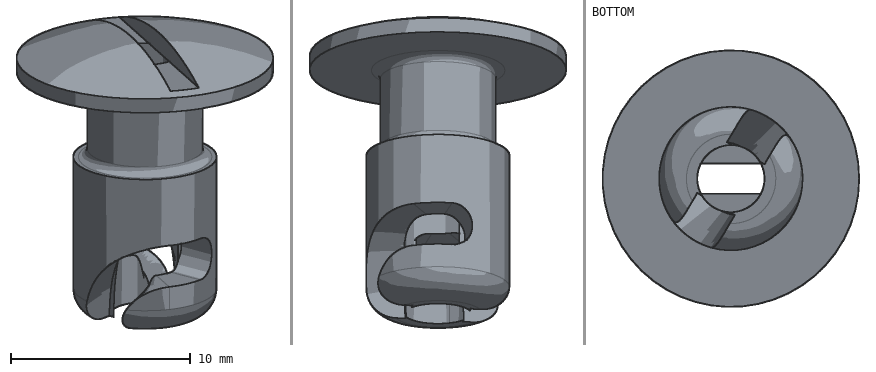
import cadquery as cq
import math

dome_apex = 16.4
head_radius = 7.15
rim_bottom = 14.2
rim_top = 15.02
body_top = 9.2

body_radius = 4.0
neck_radius = 3.23
neck_fillet = 0.49
tip_round = 1.5
bore_radius = 1.87

driver_slot_width = 1.67
driver_slot_floor = 15.23

cam_slot_radius = 1.21
cam_level_height = 4.03
cam_bend_radius = 4.16
cam_end_angle = 31.0
cam_bend_sweep = 100.0
cam_inner_radius = 1.64
cam_outer_radius = 4.59
cam_section_count = 11


def make_stud():
    """Turned profile: domed head, necked shank and rounded tip, without the bore."""
    dome_rise = dome_apex - rim_top
    dome_radius = (head_radius**2 + dome_rise**2) / (2 * dome_rise)
    dome_mid_x = head_radius / 2
    dome_mid_z = dome_apex - dome_radius + math.sqrt(dome_radius**2 - dome_mid_x**2)
    profile = (
        cq.Workplane("XZ")
        .lineTo(body_radius - tip_round, 0)
        .radiusArc((body_radius, tip_round), -tip_round)
        .lineTo(body_radius, body_top)
        .lineTo(neck_radius + neck_fillet, body_top)
        .radiusArc((neck_radius, body_top + neck_fillet), neck_fillet)
        .lineTo(neck_radius, rim_bottom - neck_fillet)
        .radiusArc((neck_radius + neck_fillet, rim_bottom), neck_fillet)
        .lineTo(head_radius, rim_bottom)
        .lineTo(head_radius, rim_top)
        .threePointArc((dome_mid_x, dome_mid_z), (0, dome_apex))
        .close()
    )
    return profile.revolve(360, (0, 0, 0), (0, 1, 0))


def cam_section(bend_angle):
    """Radial cross-section of the bend, after turning bend_angle from level."""
    turn = math.radians(bend_angle)
    around = -cam_bend_radius * math.sin(turn) / body_radius
    height = cam_level_height - cam_bend_radius * (1 - math.cos(turn))
    radial = cq.Vector(math.cos(around), math.sin(around), 0)
    tangent = cq.Vector(math.sin(around), -math.cos(around), 0)
    across = tangent * math.sin(turn) + cq.Vector(0, 0, math.cos(turn))
    corners = [
        radial * reach + across * (side * cam_slot_radius) + cq.Vector(0, 0, height)
        for reach, side in (
            (cam_inner_radius, -1),
            (cam_outer_radius, -1),
            (cam_outer_radius, 1),
            (cam_inner_radius, 1),
        )
    ]
    return cq.Wire.makePolygon(corners, close=True)


def make_cam_slot():
    """Cutter for the slot whose bend starts on the +X side."""
    step = cam_bend_sweep / (cam_section_count - 1)
    bend = cq.Solid.makeLoft([cam_section(i * step) for i in range(cam_section_count)])

    radial_depth = cam_outer_radius - cam_inner_radius
    middle_radius = (cam_inner_radius + cam_outer_radius) / 2
    level_run = (
        cq.Workplane("XZ")
        .center(middle_radius, cam_level_height)
        .rect(radial_depth, 2 * cam_slot_radius)
        .revolve(cam_end_angle, (-middle_radius, 0, 0), (-middle_radius, 1, 0))
    )
    round_end = (
        cq.Workplane("YZ", origin=(cam_inner_radius, 0, cam_level_height))
        .circle(cam_slot_radius)
        .extrude(radial_depth)
        .rotate((0, 0, 0), (0, 0, 1), cam_end_angle)
    )
    return level_run.union(round_end).union(cq.Workplane(bend))


stud = make_stud()

bore = cq.Workplane("XY").circle(bore_radius).extrude(driver_slot_floor)
driver_slot = (
    cq.Workplane("XY", origin=(0, 0, driver_slot_floor))
    .rect(2 * head_radius, driver_slot_width)
    .extrude(dome_apex - driver_slot_floor)
)
stud = stud.cut(bore).cut(driver_slot)

cam_slot = make_cam_slot()
for side_angle in (0, 180):
    stud = stud.cut(cam_slot.rotate((0, 0, 0), (0, 0, 1), side_angle))

result = stud